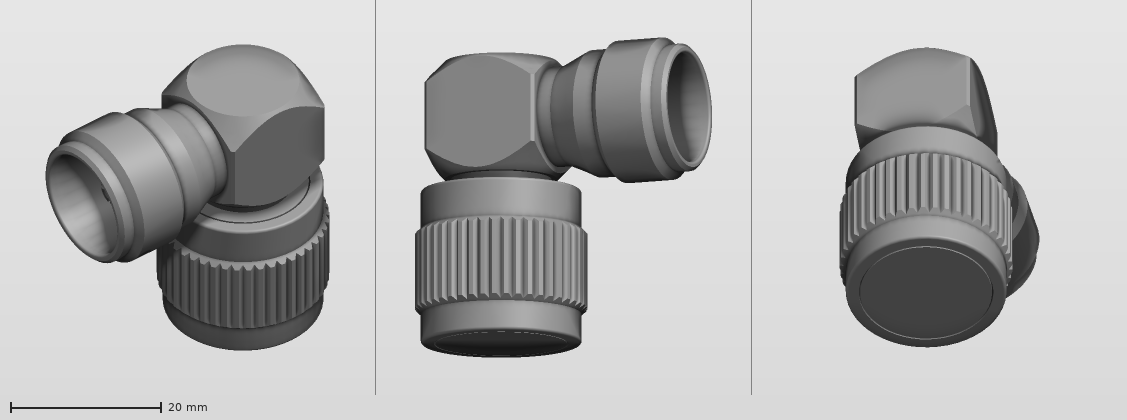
import cadquery as cq


total_height = 39.65
ring_radius = 9.5
socket_axis_z = total_height - ring_radius
socket_end_y = -27.1

cube_size = 15.82
cube_half = cube_size / 2
cube_edge_chamfer = 0.4
cube_face_radius = cube_half - 0.4
cube_bottom_z = socket_axis_z - cube_half
neck_radius = 6.7

nut_radius = 10.7
nut_height = 20.7
nut_edge_fillet = 0.4
knurl_radius = 11.5
knurl_chamfer = knurl_radius - nut_radius
knurl_bottom_z = 3.95
knurl_top_z = 15.5
knurl_count = 45
knurl_depth = 0.5

body_radius = 8.75
body_top_z = 20.8
clearance_width = 0.2
web_bottom_z = 7.95
web_top_z = 11.9

barrel_radius = 8.53
ring_chamfer = ring_radius - barrel_radius
rim_chamfer = 0.5
ring_front = 2.05
ring_back = 10.55
cone_front = 13.25
cone_back = 17.25

bore_mouth_radius = 7.35
bore_mouth_fillet = 0.35
bore_floor_radius = 6.9
bore_depth = 10.3
floor_edge_chamfer = 0.1
contact_radius = 1.7
contact_tip_depth = 4.5
contact_hole_radius = 0.87
contact_entry_radius = 1.23
contact_hole_depth = 2.0
contact_pilot_radius = 0.67
contact_slot_width = 0.45
contact_slot_depth = 1.6


def revolve_about_z(points):
    """Solid of revolution about Z from (radius, z) points."""
    return cq.Workplane("XZ").polyline(points).close().revolve(360, (0, 0), (0, 1))


def revolve_about_socket_axis(points):
    """Solid of revolution about the socket axis from (radius, distance from open end) points."""
    profile = [(radius, socket_end_y + depth) for radius, depth in points]
    solid = cq.Workplane("XY").polyline(profile).close().revolve(360, (0, 0), (0, 1))
    return solid.translate((0, 0, socket_axis_z))


def clearance_ring(bottom_z, top_z):
    return (
        cq.Workplane("XY", origin=(0, 0, bottom_z))
        .circle(body_radius + clearance_width)
        .circle(body_radius)
        .extrude(top_z - bottom_z)
    )


def make_cube():
    cube = (
        cq.Workplane("XY", origin=(0, 0, socket_axis_z))
        .box(cube_size, cube_size, cube_size)
        .edges("|Z")
        .chamfer(cube_edge_chamfer)
    )
    cube_top_z = cube_bottom_z + cube_size
    turned_radius = cube_face_radius + cube_half
    turned_envelope = revolve_about_z([
        (0, cube_bottom_z),
        (cube_face_radius, cube_bottom_z),
        (turned_radius, socket_axis_z),
        (cube_face_radius, cube_top_z),
        (0, cube_top_z),
    ])
    return cube.intersect(turned_envelope)


def make_knurl():
    band = revolve_about_z([
        (0, knurl_bottom_z),
        (nut_radius, knurl_bottom_z),
        (knurl_radius, knurl_bottom_z + knurl_chamfer),
        (knurl_radius, knurl_top_z - knurl_chamfer),
        (nut_radius, knurl_top_z),
        (0, knurl_top_z),
    ])
    root_radius = knurl_radius - knurl_depth
    outer_radius = knurl_radius + knurl_depth
    half_width = outer_radius - root_radius
    grooves = (
        cq.Workplane("XY", origin=(0, 0, knurl_bottom_z))
        .polarArray(0, 90, 360, knurl_count)
        .eachpoint(
            lambda location: cq.Workplane("XY")
            .polyline([(root_radius, 0), (outer_radius, half_width), (outer_radius, -half_width)])
            .close()
            .extrude(knurl_top_z - knurl_bottom_z)
            .val()
            .moved(location),
            combine=False,
        )
    )
    return band.cut(grooves)


def make_nut():
    sleeve = (
        cq.Workplane("XY")
        .circle(nut_radius)
        .extrude(nut_height)
        .faces("<Z or >Z")
        .edges()
        .fillet(nut_edge_fillet)
    )
    body = cq.Workplane("XY").circle(body_radius).extrude(body_top_z)
    neck = cq.Workplane("XY").circle(neck_radius).extrude(cube_bottom_z)
    nut = sleeve.union(make_knurl()).union(body).union(neck)
    nut = nut.cut(clearance_ring(web_top_z, body_top_z))
    return nut.cut(clearance_ring(0, web_bottom_z))


def make_socket_shell():
    cube_face_depth = -cube_half - socket_end_y
    return revolve_about_socket_axis([
        (0, 0),
        (barrel_radius - rim_chamfer, 0),
        (barrel_radius, rim_chamfer),
        (barrel_radius, ring_front),
        (ring_radius, ring_front + ring_chamfer),
        (ring_radius, ring_back - ring_chamfer),
        (barrel_radius, ring_back),
        (barrel_radius, cone_front),
        (neck_radius, cone_back),
        (neck_radius, cube_face_depth),
        (0, cube_face_depth),
    ])


def make_bore():
    """Tapered bore that leaves a chamfered edge around its floor."""
    return revolve_about_socket_axis([
        (0, 0),
        (bore_mouth_radius, 0),
        (bore_floor_radius, bore_depth + floor_edge_chamfer),
        (bore_floor_radius - floor_edge_chamfer, bore_depth),
        (0, bore_depth),
    ])


def make_contact():
    """Slotted centre contact standing on the bore floor."""
    tip = contact_tip_depth
    pin = revolve_about_socket_axis([
        (0, tip),
        (contact_radius, tip),
        (contact_radius, bore_depth),
        (0, bore_depth),
    ])
    entry_end = tip + contact_entry_radius - contact_hole_radius
    hole_end = tip + contact_hole_depth
    hole = revolve_about_socket_axis([
        (0, tip),
        (contact_entry_radius, tip),
        (contact_hole_radius, entry_end),
        (contact_hole_radius, hole_end),
        (contact_pilot_radius, hole_end),
        (0, hole_end + contact_pilot_radius),
    ])
    slot_centre = (0, socket_end_y + tip + contact_slot_depth / 2, socket_axis_z)
    slot = cq.Workplane("XY").box(2 * contact_radius, contact_slot_depth, contact_slot_width)
    pin = pin.cut(hole)
    for angle in (0, 90):
        pin = pin.cut(slot.rotate((0, 0, 0), (0, 1, 0), angle).translate(slot_centre))
    return pin


def make_socket():
    shell = make_socket_shell().cut(make_bore())
    inner_rim = cq.selectors.RadiusNthSelector(0)
    shell = shell.faces("<Y").edges(inner_rim).fillet(bore_mouth_fillet)
    return shell.union(make_contact())


result = make_nut().union(make_cube()).union(make_socket())